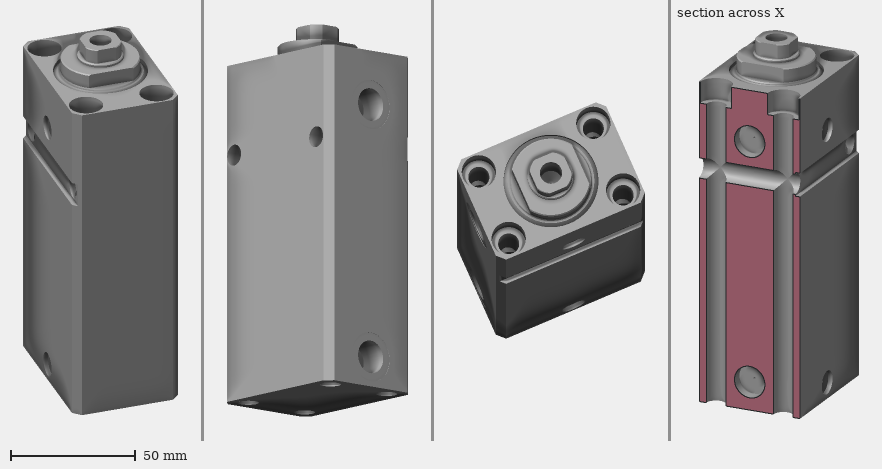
import cadquery as cq
import math

BLOCK_WIDTH = 65.0
BLOCK_DEPTH = 45.0
BLOCK_HEIGHT = 137.0
EDGE_CHAMFER = 3.2

BOLT_HOLE_DIA = 8.5
BOLT_HEAD_DIA = 13.7
BOLT_HEAD_DEPTH = 9.0
BOLT_SPACING_X = 50.0
BOLT_SPACING_Y = 29.9

SLOT_HEIGHT = 10.0
SLOT_DEPTH = 2.0
SLOT_CENTRE_Z = 100.0

UPPER_PORT_Z = 115.0
PILOT_DIA = 0.9
PILOT_DEPTH = 1.5
SIDE_PORT_LOWER_Z = 12.0
SIDE_PORT_DIA = 13.3
SIDE_PORT_DEPTH = 12.0
SPOTFACE_DIA = 19.9
SPOTFACE_DEPTH = 0.2
FRONT_PORT_LOWER_Z = 7.0
FRONT_PORT_DIA = 10.0
FRONT_PORT_DEPTH = 2.0

WIPER_DIA = 38.0
WIPER_HEIGHT = 7.5
WIPER_CHAMFER = 1.7

TOTAL_HEIGHT = 150.9
SHANK_DIA = 32.9
SHANK_BOTTOM_Z = 9.0
SHANK_CHAMFER = 0.5
HEAD_DIA = SHANK_DIA - 2 * SHANK_CHAMFER
HEAD_FLAT_WIDTH = 26.0
HEAD_BOTTOM_Z = BLOCK_HEIGHT + SHANK_CHAMFER
SHOULDER_Z = 143.5
SHOULDER_CHAMFER = 0.5
COLLAR_DIA = 18.7
COLLAR_HEIGHT = 1.4
COLLAR_CHAMFER = 0.5
TIP_DIA = 17.0
TIP_SQUARE = 15.1
TIP_CHAMFER = 0.3
TAP_HOLE_DIA = 8.9
TAP_HOLE_DEPTH = 15.1
DRILL_POINT_ANGLE = 118


def cylinder(diameter, height, bottom_z):
    """Upright cylinder on the rod axis."""
    return cq.Workplane("XY").workplane(offset=bottom_z).circle(diameter / 2).extrude(height)


def cut_bolt_holes(block):
    """Four counterbored holes down through the block."""
    return (
        block.faces(">Z").workplane()
        .rarray(BOLT_SPACING_X, BOLT_SPACING_Y, 2, 2)
        .cboreHole(BOLT_HOLE_DIA, BOLT_HEAD_DIA, BOLT_HEAD_DEPTH)
    )


def cut_key_slot(block):
    """Shallow slot across the front, with two cross holes through the block."""
    front_y = -BLOCK_DEPTH / 2
    slot = (
        cq.Workplane("XY", origin=(0, front_y, SLOT_CENTRE_Z))
        .box(BLOCK_WIDTH, 2 * SLOT_DEPTH, SLOT_HEIGHT)
    )
    cross_holes = (
        cq.Workplane("XZ", origin=(0, 0, SLOT_CENTRE_Z))
        .rarray(BOLT_SPACING_X, 1.5, 2, 1)
        .circle(BOLT_HOLE_DIA / 2)
        .extrude(BLOCK_DEPTH / 2, both=True)
    )
    return block.cut(slot).cut(cross_holes)


def bore_from_face(mouth, outward, diameter, depth):
    """Cylinder sunk to the given depth from its mouth, against the outward direction."""
    plane = cq.Plane(origin=mouth, xDir=(0, 0, 1), normal=outward)
    return cq.Workplane(plane).circle(diameter / 2).extrude(-depth)


def cut_side_ports(block):
    """Spotfaced oil ports in the -X face."""
    outward = (-1, 0, 0)
    for z in (SIDE_PORT_LOWER_Z, UPPER_PORT_Z):
        mouth = (-BLOCK_WIDTH / 2, 0, z)
        block = block.cut(bore_from_face(mouth, outward, SPOTFACE_DIA, SPOTFACE_DEPTH))
        block = block.cut(bore_from_face(mouth, outward, SIDE_PORT_DIA, SIDE_PORT_DEPTH))
        block = block.cut(bore_from_face(mouth, outward, PILOT_DIA, SIDE_PORT_DEPTH + PILOT_DEPTH))
    return block


def cut_front_ports(block):
    """Shallow plug seats in the -Y face."""
    outward = (0, -1, 0)
    for z in (FRONT_PORT_LOWER_Z, UPPER_PORT_Z):
        mouth = (0, -BLOCK_DEPTH / 2, z)
        block = block.cut(bore_from_face(mouth, outward, FRONT_PORT_DIA, FRONT_PORT_DEPTH))
        block = block.cut(bore_from_face(mouth, outward, PILOT_DIA, FRONT_PORT_DEPTH + PILOT_DEPTH))
    return block


def make_housing():
    block = (
        cq.Workplane("XY")
        .rect(BLOCK_WIDTH, BLOCK_DEPTH)
        .extrude(BLOCK_HEIGHT)
        .edges("|Z")
        .chamfer(EDGE_CHAMFER)
    )
    block = cut_bolt_holes(block)
    block = cut_key_slot(block)
    block = cut_side_ports(block)
    block = cut_front_ports(block)
    rod_bore = cylinder(SHANK_DIA, BLOCK_HEIGHT - SHANK_BOTTOM_Z, SHANK_BOTTOM_Z)
    wiper_seat = cylinder(WIPER_DIA, WIPER_HEIGHT, BLOCK_HEIGHT - WIPER_HEIGHT)
    return block.cut(rod_bore).cut(wiper_seat)


def make_wiper():
    """Ring flush with the housing top, its outer top edge chamfered."""
    bottom_z = BLOCK_HEIGHT - WIPER_HEIGHT
    ring = cylinder(WIPER_DIA, WIPER_HEIGHT, bottom_z).faces(">Z").chamfer(WIPER_CHAMFER)
    return ring.cut(cylinder(SHANK_DIA, WIPER_HEIGHT, bottom_z))


def make_head():
    """Disc on top of the shank with two parallel wrench flats."""
    height = SHOULDER_Z - HEAD_BOTTOM_Z
    disc = cylinder(HEAD_DIA, height, HEAD_BOTTOM_Z).faces(">Z").chamfer(SHOULDER_CHAMFER)
    between_flats = (
        cq.Workplane("XY").workplane(offset=HEAD_BOTTOM_Z)
        .rect(HEAD_FLAT_WIDTH, HEAD_DIA)
        .extrude(height)
    )
    return disc.intersect(between_flats)


def make_collar():
    """Low chamfered collar at the foot of the tip."""
    return cylinder(COLLAR_DIA, COLLAR_HEIGHT, SHOULDER_Z).faces(">Z").chamfer(COLLAR_CHAMFER)


def make_tip():
    """Square with rounded corners on top of the collar."""
    bottom_z = SHOULDER_Z + COLLAR_HEIGHT
    height = TOTAL_HEIGHT - bottom_z
    square = cq.Workplane("XY").workplane(offset=bottom_z).rect(TIP_SQUARE, TIP_SQUARE).extrude(height)
    return cylinder(TIP_DIA, height, bottom_z).faces(">Z").chamfer(TIP_CHAMFER).intersect(square)


def cut_tap_hole(rod):
    """Blind hole in the tip with a conical drill point."""
    radius = TAP_HOLE_DIA / 2
    point_depth = radius / math.tan(math.radians(DRILL_POINT_ANGLE / 2))
    floor_z = TOTAL_HEIGHT - TAP_HOLE_DEPTH
    drill = (
        cq.Workplane("XZ")
        .moveTo(0, floor_z - point_depth)
        .lineTo(radius, floor_z)
        .lineTo(radius, TOTAL_HEIGHT)
        .lineTo(0, TOTAL_HEIGHT)
        .close()
        .revolve(360, (0, 0, 0), (0, 1, 0))
    )
    return rod.cut(drill)


def make_rod():
    shank = cylinder(SHANK_DIA, HEAD_BOTTOM_Z - SHANK_BOTTOM_Z, SHANK_BOTTOM_Z)
    shank = shank.faces(">Z").chamfer(SHANK_CHAMFER)
    rod = shank.union(make_head()).union(make_collar()).union(make_tip())
    return cut_tap_hole(rod)


housing = make_housing()
wiper = make_wiper()
rod = make_rod()

result = cq.Compound.makeCompound([housing.val(), wiper.val(), rod.val()])